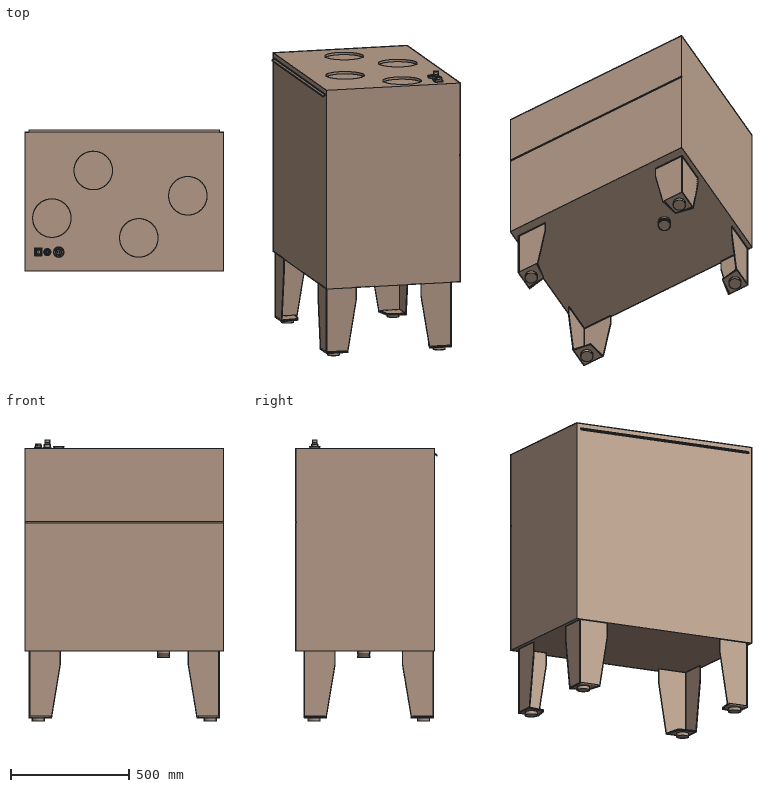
import cadquery as cq

body_width = 841.0
overall_depth = 597.62
overall_height = 1189.5
body_depth = 588.0
body_bottom = 296.0
body_height = 857.5
body_top = body_bottom + body_height
half_width = body_width / 2

joint_bottom = 838.5
joint_height = 5.0
joint_depth = 2.0

duct_diameter = 163.0
duct_depth = 10.0
duct_centres = [(-306.0, 224.5), (-131.0, 426.0), (61.5, 141.0), (269.0, 319.0)]

lip_length = 806.0
lip_reach = overall_depth - body_depth
lip_top_drop = 20.0
lip_fall = 8.0
lip_thickness = 4.0

sheet = 3.5
seam_step = 0.5
leg_top_width = 132.0
leg_foot_width = 95.0
foot_corner = 79.0
leg_straight = 58.0
leg_bottom = 14.0
leg_height = body_bottom - leg_bottom
bend_radius = 3.4
flange_setback = 6.0
leg_side_inset = 18.0
front_leg_inset = 35.0
back_leg_inset = 4.0

foot_diameter = 52.0
foot_side_offset = 39.0
foot_face_offset = 43.0

drain_x = 166.0
drain_y = 288.0
drain_diameter = 52.0
drain_length = 27.0
drain_groove_top = 12.0
drain_groove_height = 8.0
drain_groove_depth = 1.5

fitting_y = 81.0

socket_x = -363.5
socket_width = 32.0
socket_depth = 35.0
socket_flange = 5.0
socket_height = 19.0
socket_body_width = 27.0
socket_top_width = 23.0
socket_corner_chamfer = 3.0
socket_opening = 17.0
socket_opening_depth = 8.0
socket_key_width = 6.0
socket_key_reach = 3.5

gland_x = -325.5
gland_height = overall_height - body_top
gland_steps = [(30.0, 4.0), (27.0, 17.0), (21.0, 22.0), (18.0, 25.0), (21.0, gland_height)]
gland_bore = 9.0
gland_bore_depth = 12.0

grommet_x = -277.0
grommet_collar_diameter = 40.0
grommet_rim_diameter = 44.0
grommet_height = 8.0
grommet_rim = 2.0
grommet_bore = 29.0
grommet_plug = 22.0
grommet_plug_hole = 10.0


def disc(x, y, z, diameter, height):
    """Upright cylinder standing on height z."""
    return cq.Workplane("XY", origin=(x, y, z)).circle(diameter / 2).extrude(height)


def make_cabinet():
    cabinet = cq.Workplane("XY").box(body_width, body_depth, body_height, centered=(True, False, False))
    cabinet = cabinet.translate((0, 0, body_bottom))
    joint = cq.Workplane("XY").box(body_width, joint_depth, joint_height, centered=(True, False, False))
    cabinet = cabinet.cut(joint.translate((0, 0, joint_bottom)))
    for x, y in duct_centres:
        cabinet = cabinet.cut(disc(x, y, body_top - duct_depth, duct_diameter, duct_depth))
    return cabinet


def make_lip():
    """Strip sloping outward and down from the back wall."""
    top = body_top - lip_top_drop
    profile = [
        (body_depth, top),
        (body_depth + lip_reach, top - lip_fall),
        (body_depth + lip_reach, top - lip_fall - lip_thickness),
        (body_depth, top - lip_thickness),
    ]
    return cq.Workplane("YZ").polyline(profile).close().extrude(lip_length / 2, both=True)


def leg_sheet(plane, start, bottom):
    """Tapered sheet from a distance start off the leg corner, growing by one sheet thickness."""
    outline = [
        (start, bottom),
        (leg_foot_width, bottom),
        (leg_top_width, leg_height - leg_straight),
        (leg_top_width, leg_height),
        (start, leg_height),
    ]
    return cq.Workplane(plane).polyline(outline).close().extrude(sheet)


def foot_sheet(base, z):
    """Kite-shaped foot sheet: base wide along both leg sheets, narrowing to the free inner corner."""
    outline = [(0, 0), (base, 0), (foot_corner, foot_corner), (0, base)]
    return cq.Workplane("XY", origin=(0, 0, z)).polyline(outline).close().extrude(sheet)


def make_leg():
    """Front left leg with its outer corner at the origin; the sheets run along +X and +Y."""
    face = leg_sheet("XZ", 0, 0).translate((0, sheet, 0))
    strip = face.union(foot_sheet(leg_foot_width, 0)).edges("|X and <Y and <Z").fillet(bend_radius)
    side = leg_sheet("YZ", sheet, sheet).translate((seam_step, 0, 0))
    inside = cq.Workplane("XY").box(leg_foot_width, leg_foot_width, leg_height, centered=False)
    inside = inside.translate((sheet, sheet, 0))
    flange = foot_sheet(leg_foot_width - flange_setback, sheet).intersect(inside)
    pad = disc(foot_side_offset, foot_face_offset, -leg_bottom, foot_diameter, leg_bottom)
    return strip.union(side).union(flange).union(pad)


def make_legs():
    front_left = make_leg()
    back_left = front_left.mirror("XZ")
    corner_x = leg_side_inset - half_width
    left = front_left.translate((corner_x, front_leg_inset, leg_bottom))
    left = left.union(back_left.translate((corner_x, body_depth - back_leg_inset, leg_bottom)))
    return left.union(left.mirror("YZ"))


def make_drain():
    stub = disc(drain_x, drain_y, body_bottom - drain_length, drain_diameter, drain_length)
    groove_z = body_bottom - drain_groove_top - drain_groove_height
    groove = disc(drain_x, drain_y, groove_z, drain_diameter, drain_groove_height)
    core = disc(drain_x, drain_y, groove_z, drain_diameter - 2 * drain_groove_depth, drain_groove_height)
    return stub.cut(groove.cut(core))


def make_socket():
    """Flanged socket whose housing tapers toward an opening with two facing keys."""
    socket = cq.Workplane("XY").rect(socket_width, socket_depth).extrude(socket_flange)
    socket = socket.edges("|Z and <Y").chamfer(socket_corner_chamfer)
    housing = (
        cq.Workplane("XY")
        .workplane(offset=socket_flange)
        .rect(socket_body_width, socket_body_width)
        .workplane(offset=socket_height - socket_flange)
        .rect(socket_top_width, socket_top_width)
        .loft()
    )
    opening = cq.Workplane("XY").rect(socket_opening, socket_opening).extrude(socket_opening_depth)
    key_offset = (socket_opening - socket_key_reach) / 2
    keys = (
        cq.Workplane("XY")
        .pushPoints([(0, -key_offset), (0, key_offset)])
        .rect(socket_key_width, socket_key_reach)
        .extrude(socket_opening_depth)
    )
    opening = opening.cut(keys).translate((0, 0, socket_height - socket_opening_depth))
    return socket.union(housing).cut(opening).translate((socket_x, fitting_y, body_top))


def make_gland():
    gland = cq.Workplane("XY")
    step_base = 0.0
    for diameter, step_top in gland_steps:
        gland = gland.union(disc(gland_x, fitting_y, body_top + step_base, diameter, step_top - step_base))
        step_base = step_top
    bore_z = body_top + gland_height - gland_bore_depth
    return gland.cut(disc(gland_x, fitting_y, bore_z, gland_bore, gland_bore_depth))


def make_grommet():
    """Ring with an overhanging rim around a hollow central plug."""
    collar = disc(grommet_x, fitting_y, body_top, grommet_collar_diameter, grommet_height)
    rim_z = body_top + grommet_height - grommet_rim
    rim = disc(grommet_x, fitting_y, rim_z, grommet_rim_diameter, grommet_rim)
    bore = disc(grommet_x, fitting_y, body_top, grommet_bore, grommet_height)
    plug = disc(grommet_x, fitting_y, body_top, grommet_plug, grommet_height)
    hole = disc(grommet_x, fitting_y, body_top, grommet_plug_hole, grommet_height)
    return collar.union(rim).cut(bore).union(plug.cut(hole))


result = make_cabinet()
for feature in (make_lip, make_legs, make_drain, make_socket, make_gland, make_grommet):
    result = result.union(feature())